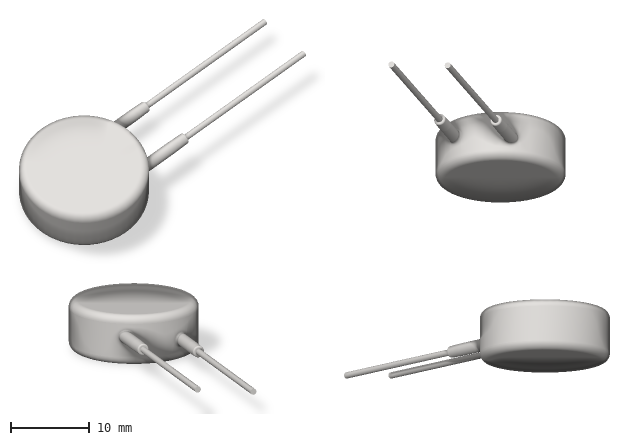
import cadquery as cq

disc_diameter = 16.5
disc_thickness = 6.5
disc_edge_radius = 1.0

lead_pitch = 7.5
lead_stagger = 1.0
wire_diameter = 0.8
wire_exposed_length = 20.0
overall_length = 42.0

sleeve_diameter = 1.6
sleeve_tip_diameter = 1.5
sleeve_taper_length = 2.0
sleeve_tip_rounding = 0.2
sleeve_root_fillet = 0.2

disc_radius = disc_diameter / 2
wire_end_y = overall_length - disc_radius
sleeve_end_y = wire_end_y - wire_exposed_length
taper_end_y = sleeve_end_y - sleeve_tip_rounding
taper_start_y = taper_end_y - sleeve_taper_length
root_y = disc_radius / 2


def make_disc():
    """Round body with both rims rounded."""
    disc = cq.Workplane("XY").cylinder(disc_thickness, disc_radius)
    return disc.faces("|Z").edges().fillet(disc_edge_radius)


def make_lead(x, z):
    """Sleeve and wire revolved about an axis parallel to Y at the given position."""
    sleeve_radius = sleeve_diameter / 2
    tip_radius = sleeve_tip_diameter / 2
    wire_radius = wire_diameter / 2
    tip_flat_radius = tip_radius - sleeve_tip_rounding
    profile = (
        cq.Workplane("YZ")
        .moveTo(root_y, 0)
        .lineTo(root_y, sleeve_radius)
        .lineTo(taper_start_y, sleeve_radius)
        .lineTo(taper_end_y, tip_radius)
        .radiusArc((sleeve_end_y, tip_flat_radius), sleeve_tip_rounding)
        .lineTo(sleeve_end_y, wire_radius)
        .lineTo(wire_end_y, wire_radius)
        .lineTo(wire_end_y, 0)
        .close()
    )
    lead = profile.revolve(360, (0, 0, 0), (1, 0, 0))
    return lead.translate((x, 0, z))


def round_root(body, x, z):
    """Small fillet where the sleeve at the given position meets the disc wall."""
    near_corner = (x - sleeve_diameter, root_y, z - sleeve_diameter)
    far_corner = (x + sleeve_diameter, disc_radius, z + sleeve_diameter)
    root_edge = body.edges(cq.selectors.BoxSelector(near_corner, far_corner))
    return root_edge.fillet(sleeve_root_fillet)


result = make_disc()
for side in (-1, 1):
    lead_x = side * lead_pitch / 2
    lead_z = side * lead_stagger / 2
    result = result.union(make_lead(lead_x, lead_z))
    result = round_root(result, lead_x, lead_z)